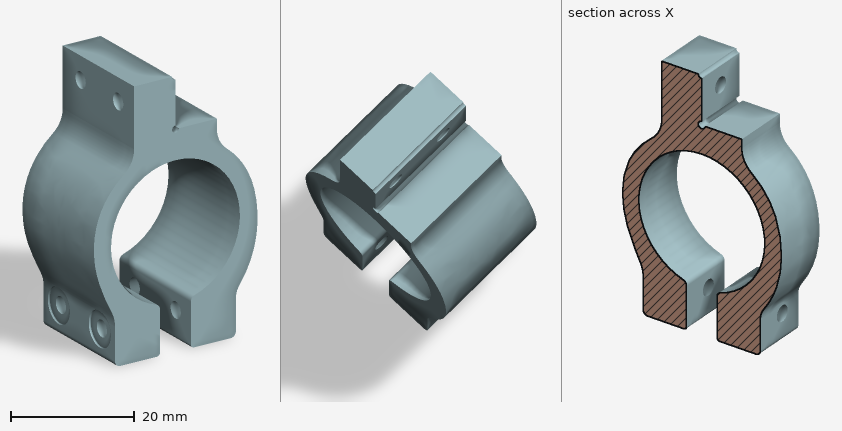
import cadquery as cq
import math

WIDTH = 20.93
HEIGHT = 48.28
BORE_RADIUS = 12.5

PAD_HALF_DEPTH = 8.03
TOP_Z = 27.22
STEP_Z = 17.94
RELIEF_RADIUS = 0.65
PAD_FILLET_RADIUS = 5.0
PAD_FILLET_TOP_Z = 16.23
PAD_FILLET_SWEEP = math.radians(51.8)

LUG_HALF_DEPTH = 11.73
LUG_BOTTOM_Z = TOP_Z - HEIGHT
SLOT_WIDTH = 6.0
LUG_OUTER_CORNER_RADIUS = 1.0
LUG_INNER_CORNER_RADIUS = 0.6
BORE_MOUTH_RADIUS = 1.0

BACK_WIDEST = (15.93, -1.25)
BACK_LUG_FILLET_RADIUS = 3.5
BACK_LUG_FILLET_BOTTOM_Z = -14.25
BACK_LUG_FILLET_SWEEP = math.radians(36)
FRONT_WIDEST = (-15.83, 0.35)
FRONT_LUG_FILLET_RADIUS = 5.5
FRONT_LUG_FILLET_BOTTOM_Z = -13.94
FRONT_LUG_FILLET_SWEEP = math.radians(27)

HOLE_DIAMETER = 3.0
PAD_HOLE_FROM_TOP = 4.25
PAD_HOLE_Z = TOP_Z - PAD_HOLE_FROM_TOP
PAD_HOLE_SPACING = 11.0
PAD_HOLE_SHIFT_X = 0.3
LUG_HOLE_FROM_BOTTOM = 5.15
LUG_HOLE_Z = LUG_BOTTOM_Z + LUG_HOLE_FROM_BOTTOM
LUG_HOLE_SPACING = 12.0
SPOTFACE_DIAMETER = 6.47
SPOTFACE_DEPTH = 0.4


def fillet_point(side, half_depth, tangent_z, radius, angle):
    """Point on a concave fillet, `angle` away from where it leaves the vertical
    face at tangent_z; a negative angle runs downwards."""
    y = half_depth + radius * (1 - math.cos(angle))
    return (side * y, tangent_z + radius * math.sin(angle))


def pad_fillet_point(side, fraction):
    return fillet_point(side, PAD_HALF_DEPTH, PAD_FILLET_TOP_Z, PAD_FILLET_RADIUS,
                        -fraction * PAD_FILLET_SWEEP)


def front_lug_fillet_point(fraction):
    return fillet_point(-1, LUG_HALF_DEPTH, FRONT_LUG_FILLET_BOTTOM_Z, FRONT_LUG_FILLET_RADIUS,
                        fraction * FRONT_LUG_FILLET_SWEEP)


def back_lug_fillet_point(fraction):
    return fillet_point(1, LUG_HALF_DEPTH, BACK_LUG_FILLET_BOTTOM_Z, BACK_LUG_FILLET_RADIUS,
                        fraction * BACK_LUG_FILLET_SWEEP)


def outer_body():
    """Closed outline of pad, ring and lugs in the YZ plane, extruded along X."""
    front_start = (-math.sin(PAD_FILLET_SWEEP), -math.cos(PAD_FILLET_SWEEP))
    front_end = (math.sin(FRONT_LUG_FILLET_SWEEP), -math.cos(FRONT_LUG_FILLET_SWEEP))
    back_start = (math.sin(BACK_LUG_FILLET_SWEEP), math.cos(BACK_LUG_FILLET_SWEEP))
    back_end = (-math.sin(PAD_FILLET_SWEEP), math.cos(PAD_FILLET_SWEEP))
    return (
        cq.Workplane("YZ", origin=(-WIDTH / 2, 0, 0))
        .moveTo(0, TOP_Z)
        .lineTo(-PAD_HALF_DEPTH, TOP_Z)
        .lineTo(-PAD_HALF_DEPTH, PAD_FILLET_TOP_Z)
        .threePointArc(pad_fillet_point(-1, 0.5), pad_fillet_point(-1, 1))
        .spline(
            [FRONT_WIDEST, front_lug_fillet_point(1)],
            tangents=[front_start, (0, -1), front_end],
            includeCurrent=True,
        )
        .threePointArc(front_lug_fillet_point(0.5), front_lug_fillet_point(0))
        .lineTo(-LUG_HALF_DEPTH, LUG_BOTTOM_Z)
        .lineTo(LUG_HALF_DEPTH, LUG_BOTTOM_Z)
        .lineTo(LUG_HALF_DEPTH, BACK_LUG_FILLET_BOTTOM_Z)
        .threePointArc(back_lug_fillet_point(0.5), back_lug_fillet_point(1))
        .spline(
            [BACK_WIDEST, pad_fillet_point(1, 1)],
            tangents=[back_start, (0, 1), back_end],
            includeCurrent=True,
        )
        .threePointArc(pad_fillet_point(1, 0.5), pad_fillet_point(1, 0))
        .lineTo(PAD_HALF_DEPTH, STEP_Z)
        .lineTo(0, STEP_Z)
        .close()
        .extrude(WIDTH)
    )


def cylinder_along_x(y, z, radius):
    return cq.Workplane("YZ", origin=(-WIDTH / 2, y, z)).circle(radius).extrude(WIDTH)


def split_slot():
    height = -LUG_BOTTOM_Z
    return cq.Workplane("XY").box(WIDTH, SLOT_WIDTH, height).translate((0, 0, -height / 2))


def round_edges(body, y, z, radius):
    """Round the two X-parallel edges at (+y, z) and (-y, z)."""
    reach = 0.1
    for side in (-1, 1):
        corner = cq.selectors.BoxSelector(
            (-WIDTH, side * y - reach, z - reach), (WIDTH, side * y + reach, z + reach)
        )
        body = body.edges("|X").edges(corner).fillet(radius)
    return body


def cylinder_along_y(x, z, diameter, start_y, length):
    axis = cq.Vector(0, 1, 0)
    return cq.Workplane(cq.Solid.makeCylinder(diameter / 2, length, cq.Vector(x, start_y, z), axis))


def cut_screw_holes(body):
    for side in (-1, 1):
        pad_x = PAD_HOLE_SHIFT_X + side * PAD_HOLE_SPACING / 2
        body = body.cut(
            cylinder_along_y(pad_x, PAD_HOLE_Z, HOLE_DIAMETER, -PAD_HALF_DEPTH, PAD_HALF_DEPTH)
        )
        lug_x = side * LUG_HOLE_SPACING / 2
        body = body.cut(
            cylinder_along_y(lug_x, LUG_HOLE_Z, HOLE_DIAMETER, -LUG_HALF_DEPTH, 2 * LUG_HALF_DEPTH)
        )
        spotface_floor_y = -LUG_HALF_DEPTH + SPOTFACE_DEPTH
        spotface_length = spotface_floor_y - FRONT_WIDEST[0]
        body = body.cut(
            cylinder_along_y(lug_x, LUG_HOLE_Z, SPOTFACE_DIAMETER, FRONT_WIDEST[0], spotface_length)
        )
    return body


clamp = outer_body().cut(cylinder_along_x(0, 0, BORE_RADIUS)).cut(split_slot())

slot_half = SLOT_WIDTH / 2
bore_mouth_z = -math.sqrt(BORE_RADIUS**2 - slot_half**2)
clamp = round_edges(clamp, slot_half, bore_mouth_z, BORE_MOUTH_RADIUS)
clamp = round_edges(clamp, slot_half, LUG_BOTTOM_Z, LUG_INNER_CORNER_RADIUS)
clamp = round_edges(clamp, LUG_HALF_DEPTH, LUG_BOTTOM_Z, LUG_OUTER_CORNER_RADIUS)

for relief_z in (STEP_Z, TOP_Z):
    clamp = clamp.cut(cylinder_along_x(0, relief_z, RELIEF_RADIUS))

result = cut_screw_holes(clamp)